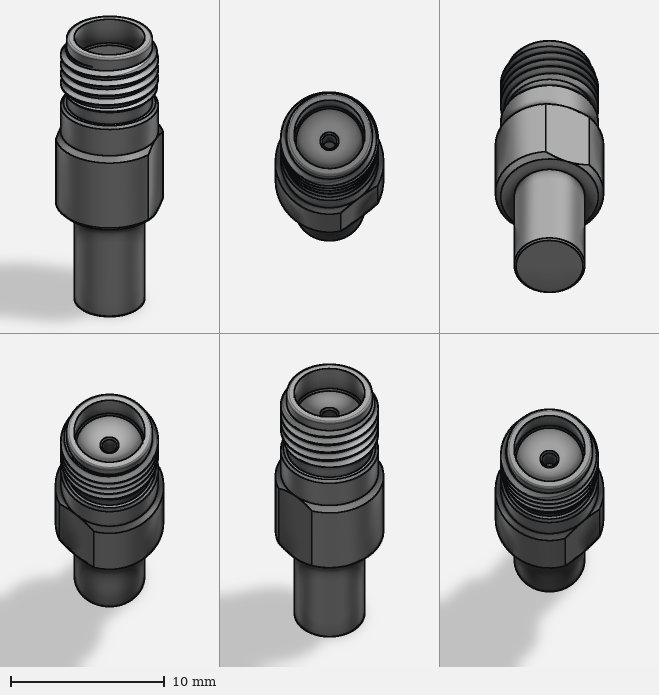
import cadquery as cq
import math

total_length = 19.81
shank_top = 7.13
body_top = 12.72
collar_top = 14.88
thread_bottom = 15.75
thread_top = 19.05

shank_diameter = 4.6
body_diameter = 7.05
collar_diameter = 6.35
neck_diameter = 5.59

across_flats = collar_diameter

shank_chamfer = 0.12
collar_chamfer = 0.18
rim_fillet = 0.14
body_chamfer = (body_diameter - collar_diameter) / 2

socket_diameter = 4.6
socket_depth = 1.9
socket_floor_chamfer = 0.12
contact_diameter = 0.95
contact_countersink_diameter = 1.2
contact_depth = 1.98

thread_diameter = collar_diameter
turns_below_crest = 5
rise_below_crest = 3.53
thread_pitch = rise_below_crest / turns_below_crest
crest_width = 0.05
flank_slope = math.tan(math.radians(30))
root_overlap = 0.08
crest_clearance = 0.1
core_overrun = 1.58
crest_height = 18.09
ridge_turns = turns_below_crest + 2


def cylinder(diameter, bottom, top):
    return cq.Workplane("XY").workplane(offset=bottom).circle(diameter / 2).extrude(top - bottom)


def make_shank():
    return cylinder(shank_diameter, 0, shank_top).faces("<Z").chamfer(shank_chamfer)


def make_body():
    body = cylinder(body_diameter, shank_top, body_top).faces("<Z or >Z").edges().chamfer(body_chamfer)
    body_length = body_top - shank_top
    flats = cq.Workplane("XY").workplane(offset=shank_top).rect(across_flats, body_diameter).extrude(body_length)
    return body.intersect(flats)


def make_collar():
    return cylinder(collar_diameter, body_top, collar_top).faces(">Z").chamfer(collar_chamfer)


def make_neck():
    return cylinder(neck_diameter, collar_top, total_length).faces(">Z").fillet(rim_fillet)


def make_thread():
    inner_radius = neck_diameter / 2 - root_overlap
    outer_radius = thread_diameter / 2
    half_crest = crest_width / 2
    half_root = half_crest + (outer_radius - inner_radius) * flank_slope

    helix = cq.Wire.makeHelix(thread_pitch, ridge_turns * thread_pitch, inner_radius)
    ridge = (
        cq.Workplane("XZ")
        .moveTo(inner_radius, -half_root)
        .lineTo(outer_radius, -half_crest)
        .lineTo(outer_radius, half_crest)
        .lineTo(inner_radius, half_root)
        .close()
        .sweep(cq.Workplane(helix), isFrenet=True)
        .translate((0, 0, crest_height - rise_below_crest))
    )

    envelope_diameter = thread_diameter + 2 * crest_clearance
    lead_in = (envelope_diameter - neck_diameter) / 2
    envelope = cylinder(envelope_diameter, thread_bottom, thread_top).faces("<Z or >Z").edges().chamfer(lead_in)
    core = cylinder(neck_diameter, thread_bottom - core_overrun, thread_top + core_overrun)
    return core.union(ridge).intersect(envelope)


def make_socket():
    floor = total_length - socket_depth
    socket_radius = socket_diameter / 2
    contact_radius = contact_diameter / 2
    countersink_radius = contact_countersink_diameter / 2
    half_profile = [
        (0, total_length),
        (socket_radius, total_length),
        (socket_radius, floor + socket_floor_chamfer),
        (socket_radius - socket_floor_chamfer, floor),
        (countersink_radius, floor),
        (contact_radius, floor - (countersink_radius - contact_radius)),
        (contact_radius, floor - contact_depth),
        (0, floor - contact_depth),
    ]
    return cq.Workplane("XZ").polyline(half_profile).close().revolve(360, (0, 0), (0, 1))


result = make_shank()
for section in (make_body(), make_collar(), make_neck(), make_thread()):
    result = result.union(section)
result = result.cut(make_socket())